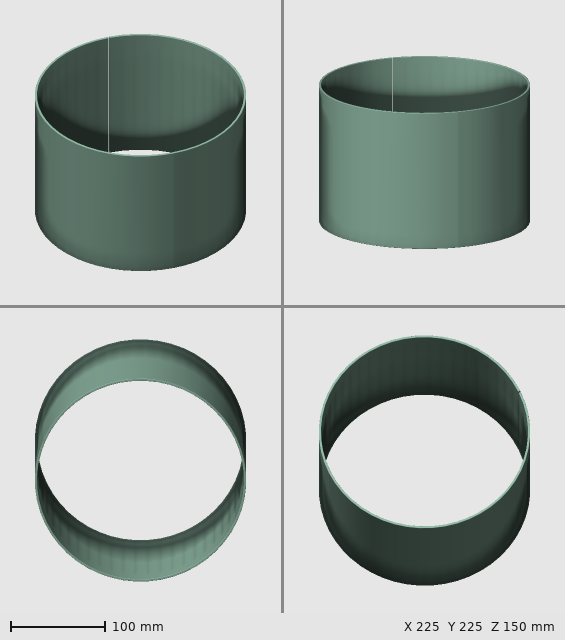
import cadquery as cq

outer_diameter = 225.0
wall = 2.5
height = 150.0
edge_round = 0.5
slit_width = 1.4
slit_center_y = 1.1

outer_radius = outer_diameter / 2
inner_radius = outer_radius - wall


def tube():
    """Thin sleeve standing on the XY plane, with its rim edges rounded."""
    sleeve = cq.Workplane("XY").circle(outer_radius).circle(inner_radius).extrude(height)
    return sleeve.faces("<Z or >Z").edges().fillet(edge_round)


def slit():
    """Full-height cutter through the wall on the -X side only."""
    return (
        cq.Workplane("XY")
        .center(-outer_radius, slit_center_y)
        .rect(4 * wall, slit_width)
        .extrude(height)
    )


result = tube().cut(slit())